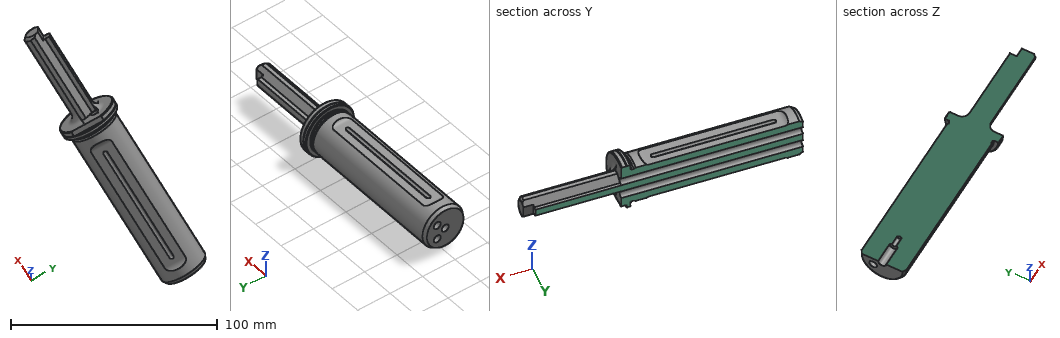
import cadquery as cq
import math

total_length = 145.0
flange_start = 90.0
flange_end = 95.0
mark_groove_start = 92.0
mark_groove_width = 0.5
body_chamfer_length = 2.0
relief_start = 87.5
relief_floor_start = 88.5
relief_floor_end = 89.6
neck_tip_start = 139.8

body_radius = 25.0 / 2
body_chamfer_depth = 1.2
relief_depth = 0.5
flange_radius = 30.0 / 2
flange_chamfer = 0.5
mark_groove_depth = 0.22
neck_radius = 12.0 / 2
neck_fillet = 4.0
neck_chamfer = 1.5

flat_height = 11.0
flat_start = 9.9
flat_end = 80.0
flat_runout_radius = 4.0
flat_groove_start = 12.2
flat_groove_end = 77.5
flat_groove_radius = 1.09

rim_flat_height = body_radius

neck_flat_height = 5.5
neck_flat_edge = -math.sqrt(neck_radius**2 - neck_flat_height**2)
web_half_thickness = 2.2
web_edge = math.sqrt(neck_radius**2 - web_half_thickness**2)
wall_lean = 15.0
tip_side = 2.3

hole_radius = 4.2 / 2
coolant_hole_y = 5.0
coolant_hole_z = 4.4
center_hole_depth = 11.6
pilot_radius = 2.2 / 2
pilot_depth = 17.4
drill_point_angle = 118.0

clearance = 2 * flange_radius


def make_turned_blank():
    """Body, relief groove, flange and neck revolved about the X axis."""
    relief_radius = body_radius - relief_depth
    groove_end = mark_groove_start + mark_groove_width
    fillet_center_x = flange_end + neck_fillet
    fillet_center_r = neck_radius + neck_fillet
    fillet_mid_x = fillet_center_x - neck_fillet * math.cos(math.pi / 4)
    fillet_mid_r = fillet_center_r - neck_fillet * math.sin(math.pi / 4)
    profile = (
        cq.Workplane("XY")
        .moveTo(0, 0)
        .lineTo(0, body_radius - body_chamfer_depth)
        .lineTo(body_chamfer_length, body_radius)
        .lineTo(relief_start, body_radius)
        .lineTo(relief_floor_start, relief_radius)
        .lineTo(relief_floor_end, relief_radius)
        .lineTo(relief_floor_end, body_radius)
        .lineTo(flange_start, body_radius)
        .lineTo(flange_start, flange_radius - flange_chamfer)
        .lineTo(flange_start + flange_chamfer, flange_radius)
        .lineTo(mark_groove_start, flange_radius)
        .lineTo(mark_groove_start + mark_groove_width / 2, flange_radius - mark_groove_depth)
        .lineTo(groove_end, flange_radius)
        .lineTo(flange_end - flange_chamfer, flange_radius)
        .lineTo(flange_end, flange_radius - flange_chamfer)
        .lineTo(flange_end, fillet_center_r)
        .threePointArc((fillet_mid_x, fillet_mid_r), (fillet_center_x, neck_radius))
        .lineTo(total_length - neck_chamfer, neck_radius)
        .lineTo(total_length, neck_radius - neck_chamfer)
        .lineTo(total_length, 0)
        .close()
    )
    return profile.revolve(360, (0, 0, 0), (1, 0, 0))


def make_flat_cutter():
    """Upper clamping flat: a level floor that curves up to the body at both ends."""
    rise = body_radius - flat_height
    runout = math.sqrt(flat_runout_radius**2 - (flat_runout_radius - rise) ** 2)
    half_angle = math.asin(runout / flat_runout_radius) / 2
    mid_run = flat_runout_radius * math.sin(half_angle)
    mid_height = flat_height + flat_runout_radius * (1 - math.cos(half_angle))
    floor = (
        cq.Workplane("XZ")
        .moveTo(flat_start, flat_height)
        .lineTo(flat_end, flat_height)
        .threePointArc((flat_end + mid_run, mid_height), (flat_end + runout, body_radius))
        .lineTo(flat_start - runout, body_radius)
        .threePointArc((flat_start - mid_run, mid_height), (flat_start, flat_height))
        .close()
    )
    return floor.extrude(body_radius, both=True)


def make_flat_groove_cutter():
    """Ball-ended groove along the middle of the upper flat."""
    first_x = flat_groove_start + flat_groove_radius
    last_x = flat_groove_end - flat_groove_radius
    groove = (
        cq.Workplane("YZ", origin=(first_x, 0, flat_height))
        .circle(flat_groove_radius)
        .extrude(last_x - first_x)
    )
    for x in (first_x, last_x):
        ball = cq.Workplane("XY", origin=(x, 0, flat_height)).sphere(flat_groove_radius)
        groove = groove.union(ball)
    return groove


def make_neck_cutter():
    """Leaning channel above the neck that leaves a flat, a 45 degree wall and a web face."""
    wall_foot_y = neck_flat_height - web_half_thickness
    lean = math.tan(math.radians(wall_lean))
    left_top_y = neck_flat_edge + (flange_radius - neck_flat_height) * lean
    right_top_y = web_edge + (flange_radius - web_half_thickness) * lean
    return (
        cq.Workplane("YZ", origin=(flange_end, 0, 0))
        .moveTo(neck_flat_edge, neck_flat_height)
        .lineTo(0, neck_flat_height)
        .lineTo(wall_foot_y, web_half_thickness)
        .lineTo(web_edge, web_half_thickness)
        .lineTo(right_top_y, flange_radius)
        .lineTo(left_top_y, flange_radius)
        .close()
        .extrude(total_length - flange_end)
    )


def make_center_hole():
    """Blind stepped hole on the axis, with a cone at each step."""
    cone_slope = math.tan(math.radians(drill_point_angle / 2))
    step_end = center_hole_depth + (hole_radius - pilot_radius) / cone_slope
    return (
        cq.Workplane("XY")
        .moveTo(0, 0)
        .lineTo(0, hole_radius)
        .lineTo(center_hole_depth, hole_radius)
        .lineTo(step_end, pilot_radius)
        .lineTo(pilot_depth, pilot_radius)
        .lineTo(pilot_depth + pilot_radius / cone_slope, 0)
        .close()
        .revolve(360, (0, 0, 0), (1, 0, 0))
    )


result = make_turned_blank()

for upper_cutter in (make_flat_cutter(), make_flat_groove_cutter(), make_neck_cutter()):
    result = result.cut(upper_cutter).cut(upper_cutter.mirror("XY"))

rim_flat_start = mark_groove_start + mark_groove_width / 2
rim_cutter = cq.Workplane("XY", origin=(rim_flat_start, 0, -rim_flat_height)).box(
    flange_end - rim_flat_start, clearance, clearance, centered=(False, True, False)
)
result = result.cut(rim_cutter.translate((0, 0, -clearance)))

tip_cutter = cq.Workplane("XY", origin=(neck_tip_start, tip_side, 0)).box(
    total_length - neck_tip_start, clearance, clearance, centered=(False, False, True)
)
result = result.cut(tip_cutter)

coolant_holes = (
    cq.Workplane("YZ")
    .pushPoints([(coolant_hole_y, coolant_hole_z), (coolant_hole_y, -coolant_hole_z)])
    .circle(hole_radius)
    .extrude(total_length)
)
result = result.cut(coolant_holes).cut(make_center_hole())